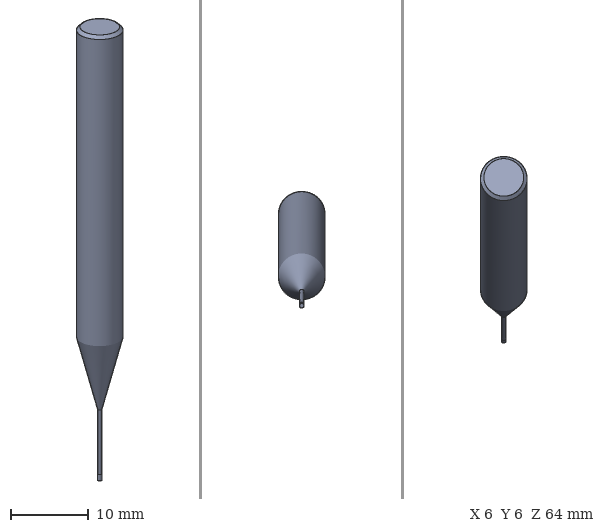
import cadquery as cq

total_length = 64.0
shank_diameter = 6.0
top_chamfer = 0.45
taper_top_z = 20.2
neck_top_z = 10.0
neck_diameter = 0.56
tip_diameter = 0.6
tip_length = 0.9


def make_shank():
    """Cylindrical shank with a chamfered top and a taper down to the neck."""
    shank_radius = shank_diameter / 2
    neck_radius = neck_diameter / 2
    return (
        cq.Workplane("XZ")
        .moveTo(0, neck_top_z)
        .lineTo(neck_radius, neck_top_z)
        .lineTo(shank_radius, taper_top_z)
        .lineTo(shank_radius, total_length - top_chamfer)
        .lineTo(shank_radius - top_chamfer, total_length)
        .lineTo(0, total_length)
        .close()
        .revolve(360, (0, 0, 0), (0, 1, 0))
    )


def make_neck():
    """Slim relieved neck between the taper and the cutting tip."""
    neck_length = neck_top_z - tip_length
    return (
        cq.Workplane("XY")
        .workplane(offset=tip_length)
        .circle(neck_diameter / 2)
        .extrude(neck_length)
    )


def make_tip():
    """Short cutting tip, slightly wider than the neck."""
    return cq.Workplane("XY").circle(tip_diameter / 2).extrude(tip_length)


shank = make_shank()
neck = make_neck()
tip = make_tip()

result = cq.Compound.makeCompound([shank.val(), neck.val(), tip.val()])